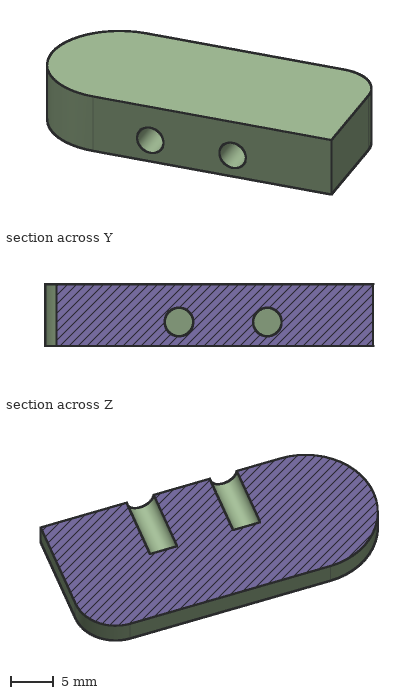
import cadquery as cq

length = 38.26
width = 16.9
thickness = 7.2
end_radius = width / 2
corner_radius = 5.0

hole_diameter = 3.3
hole_depth = 8.0
hole_height = 2.8
first_hole_x = 15.6
hole_spacing = 10.3
hole_count = 2


def make_plate():
    """Plate with its half-round end at X = 0, centred on Y and standing on Z = 0."""
    plate = (
        cq.Workplane("XY")
        .moveTo(end_radius, -width / 2)
        .lineTo(length, -width / 2)
        .lineTo(length, width / 2)
        .lineTo(end_radius, width / 2)
        .threePointArc((0, 0), (end_radius, -width / 2))
        .close()
        .extrude(thickness)
    )
    return plate.edges("|Z and >X and >Y").fillet(corner_radius)


def make_side_hole(x):
    """Flat-bottomed hole cutter entering the front side at the given X."""
    entry = cq.Vector(x, -width / 2, hole_height)
    inward = cq.Vector(0, 1, 0)
    return cq.Solid.makeCylinder(hole_diameter / 2, hole_depth, entry, inward)


result = make_plate()
for index in range(hole_count):
    result = result.cut(make_side_hole(first_hole_x + index * hole_spacing))